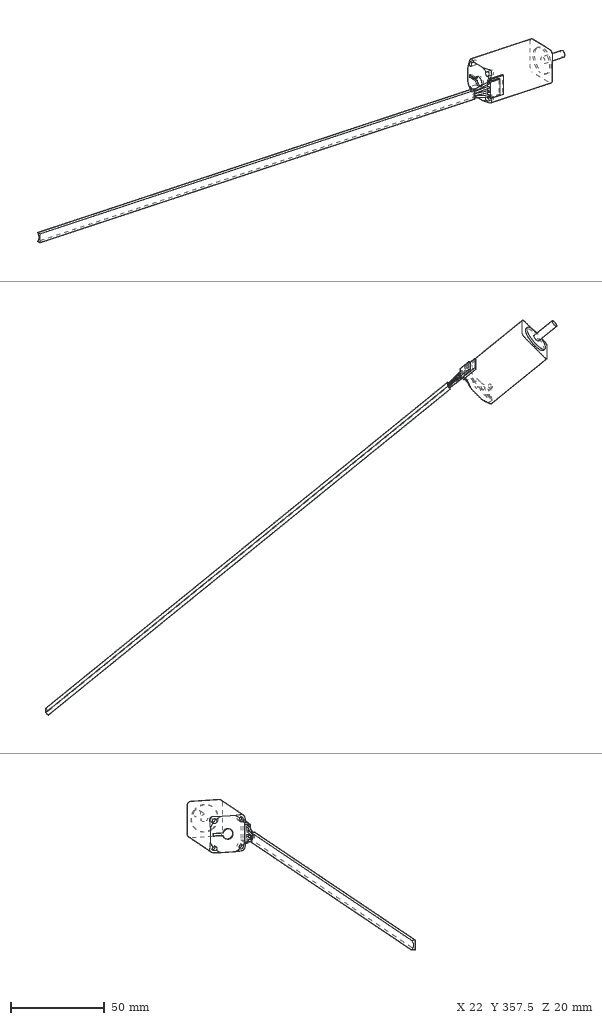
import cadquery as cq

TOTAL_LENGTH = 357.5
TIP_Y = TOTAL_LENGTH / 2

BODY_SIDE = 20.0
BODY_LENGTH = 42.0
BODY_EDGE_RADIUS = 2.0
FRONT_CAP_LENGTH = 6.5
REAR_CAP_LENGTH = 8.5

SHAFT_DIAMETER = 4.0
SHAFT_LENGTH = 13.2
PILOT_DIAMETER = 15.0
PILOT_HEIGHT = 1.0

REAR_FACE_RADIUS = 10.7
REAR_CONE_SLOPE = 0.6
SCREW_SPACING = 15.0
SCREW_HOLE_DIAMETER = 2.5
SCREW_HOLE_DEPTH = 3.5
REAR_BORE_DIAMETER = 5.7
REAR_POCKET_DEPTH = 1.0
SLOT_LENGTH = 8.2
SLOT_WIDTH = 1.5

OUTLET_HEIGHT = 11.5
OUTLET_OUTER_X = 11.0
PLUG_HEIGHT = 9.5
PLUG_INNER_X = 9.3
PLUG_OUTER_X = 12.0
PLUG_LENGTH = 6.5
PLUG_OVERHANG = 1.0

WIRE_COUNT = 4
WIRE_DIAMETER = 1.0
WIRE_X = 10.7
WIRE_SPACING_AT_PLUG = 2.5
WIRE_SPACING_AT_CABLE = 1.5
WIRE_GAP = 9.5
WIRE_EMBED = 0.5
CABLE_X = 10.5
CABLE_THICKNESS = 2.0
CABLE_HOLLOW_DEPTH = 1.0
CABLE_HEIGHT = 5.5

PILOT_Y = TIP_Y - SHAFT_LENGTH
FRONT_Y = PILOT_Y - PILOT_HEIGHT
REAR_Y = FRONT_Y - BODY_LENGTH
REAR_JOINT_Y = REAR_Y + REAR_CAP_LENGTH
PLUG_REAR_Y = REAR_Y - PLUG_OVERHANG
CABLE_START_Y = PLUG_REAR_Y - WIRE_GAP
CABLE_END_Y = TIP_Y - TOTAL_LENGTH


def plane_at(y):
    """Sketch plane facing -Y, with local x along X and local y along Z."""
    return cq.Workplane("XZ", origin=(0, y, 0))


def body_block(front_y, length):
    """Square length of the motor with rounded long edges."""
    block = plane_at(front_y).rect(BODY_SIDE, BODY_SIDE).extrude(length)
    return block.edges("|Y").fillet(BODY_EDGE_RADIUS)


def box_between(x_range, y_range, height):
    """Box spanning the X and Y ranges, centred on Z = 0."""
    x_size = x_range[1] - x_range[0]
    y_size = y_range[1] - y_range[0]
    corner = (x_range[0], y_range[0], -height / 2)
    return cq.Workplane("XY").box(x_size, y_size, height, centered=False).translate(corner)


def rear_cone():
    """Turned envelope that bevels the four rear corners of the cap."""
    front_radius = REAR_FACE_RADIUS + REAR_CAP_LENGTH / REAR_CONE_SLOPE
    profile = [(0, REAR_Y), (REAR_FACE_RADIUS, REAR_Y), (front_radius, REAR_JOINT_Y), (0, REAR_JOINT_Y)]
    return cq.Workplane("XY").polyline(profile).close().revolve(360, (0, 0, 0), (0, 1, 0))


def rear_recesses():
    """Corner screw holes, central bore and the slot running from the bore towards -X."""
    screws = plane_at(REAR_Y + SCREW_HOLE_DEPTH)
    screws = screws.rect(SCREW_SPACING, SCREW_SPACING, forConstruction=True).vertices()
    screws = screws.circle(SCREW_HOLE_DIAMETER / 2).extrude(SCREW_HOLE_DEPTH)
    bore = plane_at(REAR_Y + REAR_POCKET_DEPTH).circle(REAR_BORE_DIAMETER / 2).extrude(REAR_POCKET_DEPTH)
    slot = box_between((-SLOT_LENGTH, 0), (REAR_Y, REAR_Y + REAR_POCKET_DEPTH), SLOT_WIDTH)
    return screws.union(bore).union(slot)


def wire(index):
    """One wire easing from its place in the plug to its place in the cable."""
    offset = index - (WIRE_COUNT - 1) / 2
    start = (WIRE_X, PLUG_REAR_Y + WIRE_EMBED, offset * WIRE_SPACING_AT_PLUG)
    end = (CABLE_X, CABLE_START_Y - WIRE_EMBED, offset * WIRE_SPACING_AT_CABLE)
    path = cq.Workplane("XY").spline([start, end], tangents=[(0, -1, 0), (0, -1, 0)])
    profile = cq.Workplane("XZ", origin=start).circle(WIRE_DIAMETER / 2)
    return profile.sweep(path)


def cable():
    """Flat ribbon with a shallow round hollow along its -X side."""
    length = CABLE_START_Y - CABLE_END_Y
    front_x = CABLE_X - CABLE_THICKNESS / 2
    back_x = CABLE_X + CABLE_THICKNESS / 2
    top_z = CABLE_HEIGHT / 2
    section = plane_at(CABLE_START_Y).moveTo(front_x, -top_z)
    section = section.threePointArc((front_x + CABLE_HOLLOW_DEPTH, 0), (front_x, top_z))
    section = section.lineTo(back_x, top_z).lineTo(back_x, -top_z).close()
    return section.extrude(length)


stack_length = BODY_LENGTH - FRONT_CAP_LENGTH - REAR_CAP_LENGTH
front_cap = body_block(FRONT_Y, FRONT_CAP_LENGTH)
stack = body_block(FRONT_Y - FRONT_CAP_LENGTH, stack_length)
rear_cap = body_block(REAR_JOINT_Y, REAR_CAP_LENGTH).intersect(rear_cone())

outlet = box_between((PLUG_INNER_X, OUTLET_OUTER_X), (REAR_Y, REAR_JOINT_Y), OUTLET_HEIGHT)
plug = box_between((PLUG_INNER_X, PLUG_OUTER_X), (PLUG_REAR_Y, PLUG_REAR_Y + PLUG_LENGTH), PLUG_HEIGHT)
pilot = plane_at(PILOT_Y).circle(PILOT_DIAMETER / 2).extrude(PILOT_HEIGHT)
shaft = plane_at(TIP_Y).circle(SHAFT_DIAMETER / 2).extrude(SHAFT_LENGTH)

result = rear_cap.cut(rear_recesses())
for piece in [stack, front_cap, pilot, shaft, outlet, plug, cable()]:
    result = result.union(piece, clean=False)
for index in range(WIRE_COUNT):
    result = result.union(wire(index), clean=False)